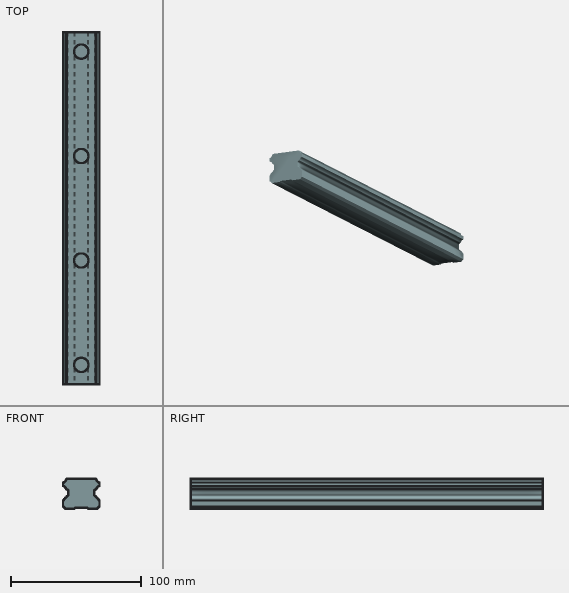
import cadquery as cq

LENGTH = 270.0
WIDTH = 28.0
HEIGHT = 23.0
HALF_WIDTH = WIDTH / 2

TOP_HALF_WIDTH = 11.1
NOSE_TOP_Z = 20.0
NOSE_BOTTOM_Z = 17.5
UPPER_TRACK_HALF_WIDTH = 11.8
UPPER_TRACK_END_Z = 22.3
UPPER_TRACK_SAG = 0.5
LOWER_TRACK_HALF_WIDTH = 11.9
LOWER_TRACK_END_Z = 15.8
LOWER_TRACK_SAG = 0.3

LEDGE_HALF_WIDTH = 11.6
LEDGE_Z = 15.1
GROOVE_HALF_WIDTH = 10.0
GROOVE_TOP_Z = 14.1
GROOVE_BOTTOM_Z = 10.5
GROOVE_CORNER_RADIUS = 1.0

FOOT_SHOULDER_HALF_WIDTH = 12.9
FOOT_SHOULDER_Z = GROOVE_BOTTOM_Z - (FOOT_SHOULDER_HALF_WIDTH - GROOVE_HALF_WIDTH)
FOOT_SIDE_TOP_Z = 6.2
FOOT_CHAMFER = 1.8
RELIEF_HALF_WIDTH = 5.4
RELIEF_FLAT_HALF_WIDTH = 4.6
RELIEF_DEPTH = 0.7

CAP_DIAMETER = 11.0
CAP_RECESS = 0.1
CAP_COUNT = 4
CAP_PITCH = 80.0


def make_half_rail():
    """Extrude the +X half of the rail section along Y, centred on the origin."""
    section = (
        cq.Workplane("XZ")
        .moveTo(0, RELIEF_DEPTH)
        .lineTo(RELIEF_FLAT_HALF_WIDTH, RELIEF_DEPTH)
        .lineTo(RELIEF_HALF_WIDTH, 0)
        .lineTo(HALF_WIDTH - FOOT_CHAMFER, 0)
        .lineTo(HALF_WIDTH, FOOT_CHAMFER)
        .lineTo(HALF_WIDTH, FOOT_SIDE_TOP_Z)
        .lineTo(FOOT_SHOULDER_HALF_WIDTH, FOOT_SHOULDER_Z)
        .lineTo(GROOVE_HALF_WIDTH, GROOVE_BOTTOM_Z)
        .lineTo(GROOVE_HALF_WIDTH, GROOVE_TOP_Z)
        .lineTo(LEDGE_HALF_WIDTH, LEDGE_Z)
        .lineTo(LOWER_TRACK_HALF_WIDTH, LOWER_TRACK_END_Z)
        .sagittaArc((HALF_WIDTH, NOSE_BOTTOM_Z), LOWER_TRACK_SAG)
        .lineTo(HALF_WIDTH, NOSE_TOP_Z)
        .sagittaArc((UPPER_TRACK_HALF_WIDTH, UPPER_TRACK_END_Z), UPPER_TRACK_SAG)
        .lineTo(TOP_HALF_WIDTH, HEIGHT)
        .lineTo(0, HEIGHT)
        .close()
    )
    half = section.extrude(LENGTH / 2, both=True)
    for corner_z in (GROOVE_BOTTOM_Z, GROOVE_TOP_Z):
        corner = cq.selectors.NearestToPointSelector((GROOVE_HALF_WIDTH, 0, corner_z))
        half = half.edges(corner).fillet(GROOVE_CORNER_RADIUS)
    return half


def cut_cap_recesses(rail):
    """Cut the shallow round recesses along the centre of the top face."""
    recesses = (
        cq.Workplane("XY")
        .workplane(offset=HEIGHT - CAP_RECESS)
        .rarray(1, CAP_PITCH, 1, CAP_COUNT)
        .circle(CAP_DIAMETER / 2)
        .extrude(CAP_RECESS)
    )
    return rail.cut(recesses)


half_rail = make_half_rail()
rail = half_rail.union(half_rail.mirror("YZ")).clean()
result = cut_cap_recesses(rail)